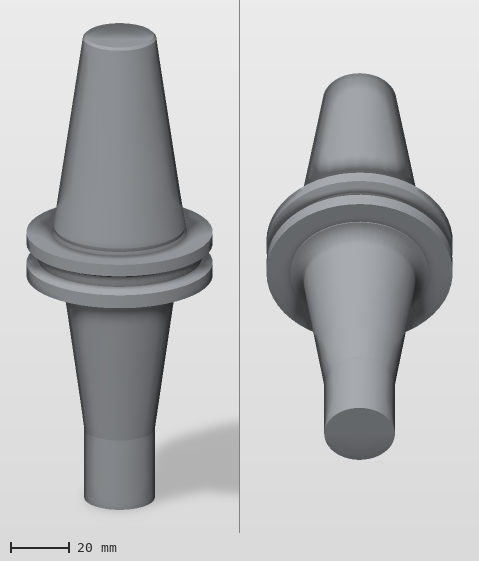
import cadquery as cq
import math

total_height = 168.2

shank_radius = 24.0 / 2
shank_height = 25.2
neck_top_radius = 38.2 / 2
neck_top_z = 76.4

fillet_top_radius = 47.1 / 2
fillet_top_z = 80.5

flange_radius = 63.5 / 2
flange_bottom_z = 80.9
flange_thickness = 15.8
flange_top_z = flange_bottom_z + flange_thickness
groove_radius = 56.0 / 2
lower_rim_thickness = 4.7
upper_rim_thickness = 4.2
groove_side_height = 1.7
groove_bottom_z = flange_bottom_z + lower_rim_thickness
groove_top_z = flange_top_z - upper_rim_thickness

collar_radius = 44.0 / 2
collar_flare = 1.0
taper_base_radius = 44.9 / 2
taper_base_z = 99.0
taper_ratio = 7 / 24
end_chamfer = 0.8

neck_angle = math.atan2(neck_top_z - shank_height, neck_top_radius - shank_radius)
chord_angle = math.atan2(fillet_top_z - neck_top_z, fillet_top_radius - neck_top_radius)
half_sweep = neck_angle - chord_angle
chord = math.hypot(fillet_top_radius - neck_top_radius, fillet_top_z - neck_top_z)
fillet_sagitta = chord / 2 * math.tan(half_sweep / 2)
fillet_middle = (
    (neck_top_radius + fillet_top_radius) / 2 - fillet_sagitta * math.sin(chord_angle),
    (neck_top_z + fillet_top_z) / 2 + fillet_sagitta * math.cos(chord_angle),
)

chamfer_bottom_z = total_height - end_chamfer
taper_end_radius = taper_base_radius - (chamfer_bottom_z - taper_base_z) * taper_ratio / 2

half_section = (
    cq.Workplane("XZ")
    .lineTo(shank_radius, 0)
    .lineTo(shank_radius, shank_height)
    .lineTo(neck_top_radius, neck_top_z)
    .threePointArc(fillet_middle, (fillet_top_radius, fillet_top_z))
    .lineTo(fillet_top_radius, flange_bottom_z)
    .lineTo(flange_radius, flange_bottom_z)
    .lineTo(flange_radius, groove_bottom_z)
    .lineTo(groove_radius, groove_bottom_z + groove_side_height)
    .lineTo(groove_radius, groove_top_z - groove_side_height)
    .lineTo(flange_radius, groove_top_z)
    .lineTo(flange_radius, flange_top_z)
    .lineTo(collar_radius + collar_flare, flange_top_z)
    .lineTo(collar_radius, flange_top_z + collar_flare)
    .lineTo(collar_radius, taper_base_z)
    .lineTo(taper_base_radius, taper_base_z)
    .lineTo(taper_end_radius, chamfer_bottom_z)
    .lineTo(taper_end_radius - end_chamfer, total_height)
    .lineTo(0, total_height)
    .close()
)
result = half_section.revolve(360, (0, 0, 0), (0, 1, 0))